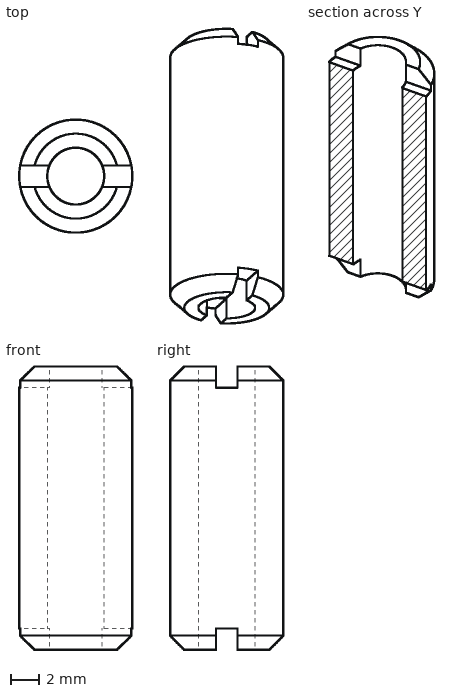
import cadquery as cq

LENGTH = 20.0
OUTER_DIAMETER = 8.0
BORE_DIAMETER = 4.0
END_CHAMFER = 1.0
SLOT_WIDTH = 1.5
SLOT_DEPTH = 1.5


def chamfered_sleeve():
    """Cylinder along Z with both rims chamfered and a through bore."""
    body = cq.Workplane("XY").circle(OUTER_DIAMETER / 2).extrude(LENGTH)
    body = body.faces("<Z or >Z").edges().chamfer(END_CHAMFER)
    bore = cq.Workplane("XY").circle(BORE_DIAMETER / 2).extrude(LENGTH)
    return body.cut(bore)


def driver_slot(lower_z):
    """Cutter for a screwdriver slot running along X, rising from lower_z."""
    return (
        cq.Workplane("XY")
        .workplane(offset=lower_z)
        .rect(OUTER_DIAMETER, SLOT_WIDTH)
        .extrude(SLOT_DEPTH)
    )


result = chamfered_sleeve()

for slot_start in (0.0, LENGTH - SLOT_DEPTH):
    result = result.cut(driver_slot(slot_start))